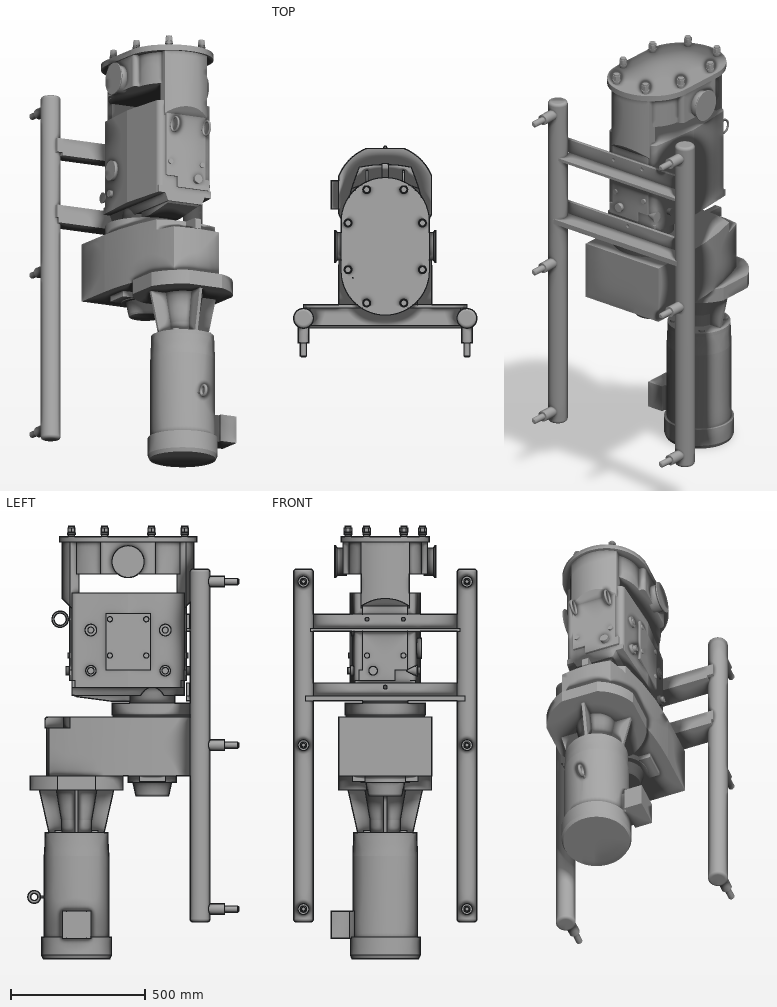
import cadquery as cq

rotor_offset = 92.0
cover_radius = 164.0
cover_bottom = 1550.0
cover_top = 1571.0
head_bottom = 1431.0
head_half_width = 158.0
head_slab_half_length = 103.0
head_slab_corner = 15.0
head_lobe_radius = 135.0
stud_places = [(sx * x, sy * y) for x, y in ((70.0, 211.0), (138.0, 87.0)) for sx in (-1, 1) for sy in (-1, 1)]

neck_half_width = 90.0
neck_lobe_radius = 153.7
neck_corner = 11.0
neck_inner_y = 182.0
neck_slope_top = 1341.0

case_half_x = 130.0
case_end_half_x = 111.9
case_half_y = 210.0
case_bottom = 1010.0
case_top = 1362.0
case_corner = 20.0
corner_block = 23.0
corner_block_height = 25.0

pad_y = 217.0
pad_half_width = 84.0
pad_bottom = 1035.0
pad_step_top = 1075.0
pad_step_left = -98.0
pad_step_right = 35.0
screw_offset = 68.0
screw_low = 1128.0
screw_high = 1264.0
screw_diameter = 20.0
screw_height = 6.0
eye_y = 253.0
plug_z = 1072.0

port_z = 1478.0
port_face_x = 188.0
port_tube_diameter = 103.0
port_flange_diameter = 119.0
port_rim = 3.0
port_cone = 6.0

foot_top_half_width = 84.0
foot_bottom_half_width = 72.0
foot_bottom = 980.0
pan_low_z = 958.0
pan_half_width = 65.0

shaft_y = -90.0
collar_diameter = 169.0
disc_diameter = 300.0
disc_top = 951.0
disc_neck_height = 8.0
disc_step = 3.0
cap_lug_half_x = 122.0
gear_top = 900.0
gear_bottom = 681.0
gear_half_width = 174.0
gear_front = -264.0
gear_rear = 305.0
gear_rear_corner = (97.0, 295.0)
gear_side_mid = (148.0, 129.0)
ledge_depth = 40.0
ledge_radius = 330.0
lug_width = 24.0
lug_rear = 309.0
lug_corner = 10.0

motor_y = 192.0
flange_radius = 187.0
flange_flat = 173.0
flange_bottom = 628.0
cone_top_radius = 75.0
cone_bottom_radius = 56.0
cone_bottom = 515.0
rib_thickness = 11.0

motor_top = 470.0
motor_top_radius = 118.0
motor_radius = 120.0
shoulder_top = 455.0
shoulder_bottom = 381.0
bell_top = 80.0
bell_radius = 130.0
motor_bolt_offset = 68.0
box_outer_x = -201.0
box_step_x = -134.0
box_size_y = 106.0
box_neck_inset = 16.0
box_bottom = 75.0
box_top = 177.0
motor_eye_y = 350.0
motor_eye_z = 230.0

post_x = 305.0
post_y = -268.0
post_diameter = 74.0
post_bottom = 137.0
post_top = 1450.0
post_edge = 11.0
foot_levels = (185.0, 795.0, 1404.0)
foot_tip_y = -412.0
foot_sleeve_diameter = 40.0
foot_sleeve_end_y = -359.0
foot_tip_diameter = 24.0
leg_thickness = 13.0
leg_hole_diameter = 15.0


def box(x0, x1, y0, y1, z0, z1):
    return cq.Workplane("XY").box(x1 - x0, y1 - y0, z1 - z0, centered=False).translate((x0, y0, z0))


def rod_z(x, y, z0, z1, diameter):
    return cq.Workplane("XY", origin=(x, y, z0)).circle(diameter / 2).extrude(z1 - z0)


def rod_y(x, z, y0, y1, diameter):
    return cq.Workplane("XZ", origin=(x, y0, z)).circle(diameter / 2).extrude(y0 - y1)


def rod_x(y, z, x0, x1, diameter):
    return cq.Workplane("YZ", origin=(x0, y, z)).circle(diameter / 2).extrude(x1 - x0)


def turned(profile, x, y):
    """Solid turned about a vertical axis from (radius, height) points."""
    return cq.Workplane("XZ").polyline(profile).close().revolve().translate((x, y, 0))


def lobes(radius, z0, z1):
    """Two round lobes joined by straight flanks."""
    body = box(-radius, radius, -rotor_offset, rotor_offset, z0, z1)
    for side in (-1, 1):
        body = body.union(rod_z(0, side * rotor_offset, z0, z1, 2 * radius))
    return body


def eye(x, y, z, outer_radius, hole_radius, root_y):
    """Lifting eye that looks along X, with a shank back to root_y."""
    wire_diameter = outer_radius - hole_radius
    wire_centre = (outer_radius + hole_radius) / 2
    ring = cq.Workplane(cq.Solid.makeTorus(wire_centre, wire_diameter / 2, cq.Vector(x, y, z), cq.Vector(1, 0, 0)))
    shank = rod_y(x, z, root_y, y - wire_centre, 0.8 * wire_diameter)
    return ring.union(shank)


def cover_nut(x, y):
    core = rod_z(x, y, cover_top, 1589.0, 24.0)
    washer = rod_z(x, y, 1579.0, 1584.0, 29.0)
    hexagon = cq.Workplane("XY", origin=(x, y, 1589.0)).polygon(6, 30.0).extrude(15.0)
    cap = rod_z(x, y, 1603.0, 1610, 23.0)
    return core.union(washer).union(hexagon).union(cap)


def pump_head():
    slab = box(-head_half_width, head_half_width, -head_slab_half_length, head_slab_half_length,
               head_bottom, cover_bottom)
    head = slab.edges("|Z").fillet(head_slab_corner)
    head = head.union(lobes(head_lobe_radius, head_bottom, cover_bottom))
    head = head.union(lobes(cover_radius, cover_bottom, cover_top))
    for x, y in stud_places:
        head = head.union(cover_nut(x, y))
    return head


def pump_necks():
    """Front and rear columns from the cover down the housing ends, sloped back at 45 degrees."""
    reach = rotor_offset + neck_lobe_radius
    strip = box(-neck_half_width, neck_half_width, -reach, reach, pad_bottom, cover_bottom)
    necks = lobes(neck_lobe_radius, pad_bottom, cover_bottom).intersect(strip.edges("|Z").fillet(neck_corner))
    for side in (-1, 1):
        below_slope = (
            cq.Workplane("YZ")
            .polyline([
                (side * case_half_y, pad_bottom),
                (side * case_half_y, neck_slope_top - (reach - case_half_y)),
                (side * reach, neck_slope_top),
                (side * reach, pad_bottom),
            ])
            .close()
            .extrude(neck_half_width, both=True)
        )
        necks = necks.cut(below_slope)
    opening = box(-neck_half_width, neck_half_width, -neck_inner_y, neck_inner_y, case_top, head_bottom)
    return necks.cut(opening)


def bearing_housing():
    outline = [
        (case_half_x, 0), (case_end_half_x, case_half_y), (-case_end_half_x, case_half_y),
        (-case_half_x, 0), (-case_end_half_x, -case_half_y), (case_end_half_x, -case_half_y),
    ]
    case = cq.Workplane("XY", origin=(0, 0, case_bottom)).polyline(outline).close()
    case = case.extrude(case_top - case_bottom)
    case = case.edges("|Z and (>Y or <Y)").fillet(case_corner)
    for sx in (-1, 1):
        for sy in (-1, 1):
            block = cq.Workplane("XY").box(corner_block, corner_block, corner_block_height)
            case = case.union(block.translate((
                sx * (case_end_half_x - corner_block / 2),
                sy * (case_half_y - corner_block / 2),
                case_bottom + corner_block_height / 2,
            )))
    foot = (
        cq.Workplane("XZ")
        .polyline([
            (-foot_top_half_width, case_bottom), (foot_top_half_width, case_bottom),
            (foot_bottom_half_width, foot_bottom), (-foot_bottom_half_width, foot_bottom),
        ])
        .close()
        .extrude(case_half_y, both=True)
    )
    pan = (
        cq.Workplane("YZ")
        .polyline([(201.0, foot_bottom), (193.0, 975.0), (60.0, pan_low_z), (-6.0, pan_low_z), (-6.0, foot_bottom)])
        .close()
        .extrude(pan_half_width, both=True)
    )
    collar = rod_z(0, shaft_y, disc_top, case_bottom, collar_diameter)
    return case.union(foot).union(pan).union(collar)


def mounting_pad(side):
    """Screwed pad on the front (-1) or rear (+1) of the bearing housing."""
    inner = side * (case_half_y - 16)
    pad_top = neck_slope_top - (rotor_offset + neck_lobe_radius - pad_y)
    y0, y1 = sorted((inner, side * pad_y))
    pad = box(-pad_half_width, pad_half_width, y0, y1, pad_step_top, pad_top)
    pad = pad.union(box(pad_step_left, pad_step_right, y0, y1, pad_bottom, pad_step_top))
    pad = pad.union(rod_y(-45.0, plug_z, inner, side * (pad_y + 15.0), 32.0))
    for x in (-screw_offset, screw_offset):
        pad = pad.union(rod_y(x, screw_low, inner, side * (pad_y + screw_height), screw_diameter))
    return pad


def side_fittings():
    """Square plate, its screws and four round plugs on the -X face."""
    face = -case_half_x
    root = -case_end_half_x
    fittings = box(face - 2.0, root, -84.0, 82.0, 1075.0, 1285.0)
    for y in (-screw_offset, screw_offset):
        for z in (screw_low, screw_high):
            fittings = fittings.union(rod_x(y, z, face - screw_height, root, screw_diameter))
    for y in (-138.0, 138.0):
        upper_ring = rod_x(y, 1223.0, face + 5.0, root, 43.0)
        upper_core = rod_x(y, 1223.0, face + 2.0, root, 23.0)
        lower_ring = rod_x(y, plug_z, face + 2.0, root, 39.0)
        lower_core = rod_x(y, plug_z, face - 10.0, root, 24.0)
        fittings = fittings.union(upper_ring).union(upper_core).union(lower_ring).union(lower_core)
    return fittings


def sight_glass():
    """Round glass, plug and drain horn near the +X front corner."""
    glass = rod_x(-118.0, 1155.0, case_end_half_x, 135.0, 75.0)
    horn = cq.Workplane("YZ", origin=(75.0, -205.0, plug_z)).circle(3.0).workplane(offset=43.0).circle(21.0).loft()
    plug = rod_x(-134.0, plug_z, case_end_half_x, 132.0, 25.0)
    return glass.union(horn).union(plug)


def port(side):
    profile = [
        (0, 145.0), (port_tube_diameter / 2, 145.0),
        (port_tube_diameter / 2, port_face_x - port_rim - port_cone),
        (port_flange_diameter / 2, port_face_x - port_rim),
        (port_flange_diameter / 2, port_face_x), (0, port_face_x),
    ]
    ferrule = turned(profile, 0, 0).rotate((0, 0, 0), (0, 1, 0), side * 90)
    return ferrule.translate((0, 0, port_z))


def make_pump():
    pump = pump_head().union(bearing_housing()).union(pump_necks()).union(side_fittings()).union(sight_glass())
    for side in (-1, 1):
        pump = pump.union(mounting_pad(side)).union(port(side))
        pump = pump.union(eye(side * screw_offset, eye_y, screw_high, 30.0, 23.0, case_half_y))
    return pump


def gear_outline():
    corner_x, corner_y = gear_rear_corner
    mid_x, mid_y = gear_side_mid
    return (
        cq.Workplane("XY")
        .moveTo(-gear_half_width, gear_front)
        .lineTo(gear_half_width, gear_front)
        .lineTo(gear_half_width, shaft_y)
        .threePointArc((mid_x, mid_y), (corner_x, corner_y))
        .threePointArc((0, gear_rear), (-corner_x, corner_y))
        .threePointArc((-mid_x, mid_y), (-gear_half_width, shaft_y))
        .close()
    )


def gear_case():
    """Case with a lowered rear ledge and a lifting lug standing on it."""
    ledge_z = gear_top - ledge_depth
    case = gear_outline().extrude(ledge_z - gear_bottom).translate((0, 0, gear_bottom))
    raised = gear_outline().extrude(ledge_depth).translate((0, 0, ledge_z))
    raised = raised.intersect(rod_z(0, shaft_y, ledge_z, gear_top, 2 * ledge_radius))
    lug = box(-lug_width / 2, lug_width / 2, 0, lug_rear, ledge_z, gear_top)
    lug = lug.edges(">Y and >Z").fillet(lug_corner)
    return case.union(raised).union(lug)


def lantern():
    """Motor flange with four flats, bell cone and crossed ribs."""
    flange = rod_z(0, motor_y, flange_bottom, gear_bottom, 2 * flange_radius)
    flange = flange.intersect(box(
        -flange_flat, flange_flat, motor_y - flange_flat, motor_y + flange_flat, flange_bottom, gear_bottom,
    ))
    cone = turned(
        [(0, motor_top), (cone_bottom_radius, motor_top), (cone_bottom_radius, cone_bottom),
         (cone_top_radius, flange_bottom), (0, flange_bottom)],
        0, motor_y,
    )
    bell = flange.union(cone)
    rib = (
        cq.Workplane("XZ")
        .polyline([(-103.0, motor_top), (103.0, motor_top), (138.0, flange_bottom), (-138.0, flange_bottom)])
        .close()
        .extrude(rib_thickness / 2, both=True)
    )
    for angle in (0, 90):
        bell = bell.union(rib.rotate((0, 0, 0), (0, 0, 1), angle).translate((0, motor_y, 0)))
    return bell


def make_gear_reducer():
    disc = rod_z(0, shaft_y, gear_top + disc_neck_height, disc_top, disc_diameter)
    disc = disc.union(rod_z(0, shaft_y, gear_top, disc_top, disc_diameter - 2 * disc_step))
    lugs = box(-cap_lug_half_x, cap_lug_half_x, shaft_y - 48, shaft_y + 48, 660.0, gear_bottom)
    bottom_cap = turned(
        [(0, gear_bottom), (90.0, gear_bottom), (90.0, 657.0), (72.0, 657.0), (63.0, 612.0), (60.0, 605.0), (0, 605.0)],
        0, shaft_y,
    )
    return gear_case().union(disc).union(lugs).union(bottom_cap).union(lantern())


def terminal_box():
    y0 = 138.0
    y1 = y0 + box_size_y
    body = box(box_outer_x, box_step_x, y0, y1, box_bottom, box_top)
    neck = box(box_step_x, -97, y0 + box_neck_inset, y1 - box_neck_inset, box_bottom, box_top)
    return body.union(neck)


def make_motor():
    motor = turned(
        [(0, 0), (bell_radius - 6.0, 0), (bell_radius, 15.0), (bell_radius, bell_top), (motor_radius, bell_top),
         (motor_radius, shoulder_bottom), (motor_top_radius, shoulder_top), (motor_top_radius, motor_top),
         (0, motor_top)],
        0, motor_y,
    )
    for sx in (-1, 1):
        for sy in (-1, 1):
            x = sx * motor_bolt_offset
            y = motor_y + sy * motor_bolt_offset
            motor = motor.union(rod_z(x, y, motor_top, motor_top + 8.0, 25.0))
    lifting_eye = eye(0, motor_eye_y, motor_eye_z, 24.0, 13.0, motor_y + 113)
    return motor.union(terminal_box()).union(lifting_eye)


def cross_angle(leg_top, bend_z, flange_bottom_z, flange_half_x, flange_front_y):
    """L-section between the posts, its upright leg bearing on the pump pads."""
    leg = box(-post_x, post_x, -pad_y - leg_thickness, -pad_y, bend_z, leg_top)
    flange = box(-flange_half_x, flange_half_x, flange_front_y, -pad_y, flange_bottom_z, bend_z)
    return leg.union(flange)


def post(side):
    x = side * post_x
    body = rod_z(x, post_y, post_bottom, post_top, post_diameter).edges().fillet(post_edge)
    for z in foot_levels:
        sleeve = rod_y(x, z, post_y, foot_sleeve_end_y, foot_sleeve_diameter)
        tip = rod_y(x, z, post_y, foot_tip_y, foot_tip_diameter).faces("<Y").chamfer(5.0)
        body = body.union(sleeve).union(tip)
    return body


def make_frame():
    frame = cross_angle(1283.0, 1230.0, 1219.0, 280.0, -295.0)
    frame = frame.union(cross_angle(1027.0, 979.0, 960.0, 296.0, -305.0))
    for x, z in ((-screw_offset, screw_high), (screw_offset, screw_high), (0, 1011.0)):
        frame = frame.cut(rod_y(x, z, -pad_y, -pad_y - leg_thickness, leg_hole_diameter))
    for side in (-1, 1):
        frame = frame.union(post(side))
    return frame


pump = make_pump()
gear_reducer = make_gear_reducer()
motor = make_motor()
frame = make_frame()

result = cq.Compound.makeCompound([pump.val(), gear_reducer.val(), motor.val(), frame.val()])